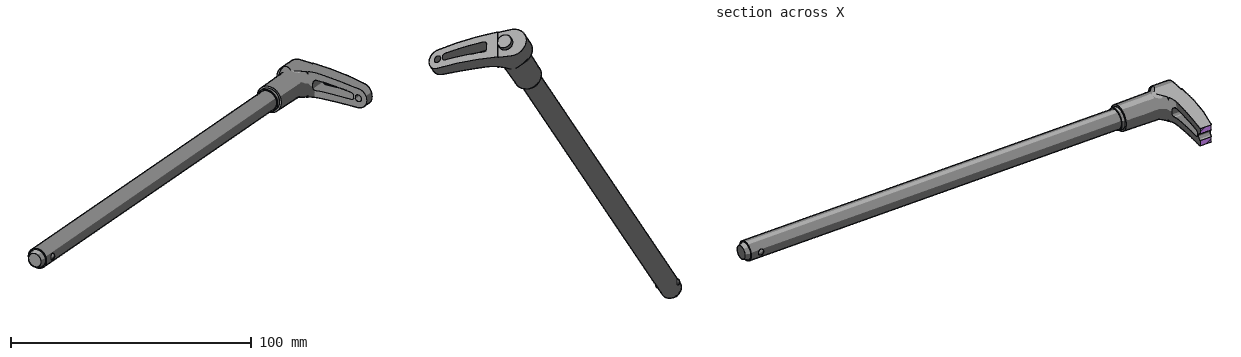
import cadquery as cq
import math

length = 218.5

pin_diameter = 9.0
pin_radius = pin_diameter / 2
tip_length = 2.2
tip_base_radius = 4.0
tip_end_radius = 3.0
ball_radius = 1.5
ball_reach = 5.2
ball_from_tip = 7.0

button_radius = 3.0
head_top = -2.0
collar_top = -14.6
collar_top_radius = 6.1
collar_band = -29.0
collar_radius = 6.0
collar_end = -30.8
washer_end = -32.3
washer_radius = 5.0

handle_left = -9.0
handle_right = 35.2
head_radius = 6.3
grip_radius = 4.4
head_center = handle_left + head_radius
grip_center = handle_right - grip_radius

head_bottom = -10.0
crown_start = 3.5
crown_top = -1.5
crown_mid_x = 18.8
crown_mid_y = -2.5
grip_top = -5.0
tip_corner = -6.3
tip_bottom = -10.7
grip_bottom_mid_x = 20.3
grip_bottom_mid_y = -9.5

neck_root = -6.5
neck_top = -8.7
neck_radius = 11.8
neck_mid = -10.5
neck_mid_radius = 7.5

slot_start = 8.3
slot_end = 28.6
slot_start_half = 2.5
slot_end_half = 1.5
slot_round = 1.3
eye_radius = 1.5
eye_center = 31.0


def y_cylinder(radius, start, end):
    """Cylinder on the pin axis from y = start down to y = end."""
    return cq.Workplane("XZ", origin=(0, start, 0)).circle(radius).extrude(start - end)


def revolved(profile):
    """Revolve a radius-height profile about the pin axis."""
    return profile.close().revolve(360, (0, 0, 0), (0, 1, 0))


def make_pin():
    shoulder = -length + tip_length
    pin = revolved(
        cq.Workplane("XY")
        .moveTo(0, head_top)
        .lineTo(pin_radius, head_top)
        .lineTo(pin_radius, shoulder)
        .lineTo(tip_base_radius, shoulder)
        .lineTo(tip_end_radius, -length)
        .lineTo(0, -length)
    )
    for side in (-1, 1):
        center = (side * (ball_reach - ball_radius), -length + ball_from_tip, 0)
        pin = pin.union(cq.Workplane("XY").sphere(ball_radius).translate(center))
    return pin


def make_collar():
    collar = revolved(
        cq.Workplane("XY")
        .moveTo(0, collar_top)
        .lineTo(collar_top_radius, collar_top)
        .lineTo(collar_radius, collar_band)
        .lineTo(collar_radius, collar_end)
        .lineTo(0, collar_end)
    )
    return collar.union(y_cylinder(washer_radius, collar_end, washer_end))


def make_handle_outline():
    """Tapered outline with tangent round ends, extruded past the whole handle height."""
    lean = (head_radius - grip_radius) / (grip_center - head_center)
    rise = math.sqrt(1 - lean**2)
    head_x = head_center + head_radius * lean
    head_z = head_radius * rise
    grip_x = grip_center + grip_radius * lean
    grip_z = grip_radius * rise
    return (
        cq.Workplane("XZ")
        .moveTo(head_x, head_z)
        .lineTo(grip_x, grip_z)
        .threePointArc((handle_right, 0), (grip_x, -grip_z))
        .lineTo(head_x, -head_z)
        .threePointArc((handle_left, 0), (head_x, head_z))
        .close()
        .extrude(-collar_top)
    )


def make_handle_profile():
    """Side shape of the arched handle, as wide as the head."""
    return (
        cq.Workplane("XY")
        .moveTo(handle_left, head_top)
        .lineTo(crown_start, head_top)
        .lineTo(crown_start, crown_top)
        .threePointArc((crown_mid_x, crown_mid_y), (grip_center, grip_top))
        .lineTo(handle_right, tip_corner)
        .lineTo(handle_right, tip_bottom)
        .lineTo(grip_center, tip_bottom)
        .threePointArc((grip_bottom_mid_x, grip_bottom_mid_y), (neck_radius, neck_top))
        .lineTo(collar_top_radius, neck_top)
        .lineTo(collar_top_radius, head_bottom)
        .lineTo(handle_left, head_bottom)
        .close()
        .extrude(head_radius, both=True)
    )


def make_neck():
    return revolved(
        cq.Workplane("XY")
        .moveTo(0, neck_root)
        .lineTo(neck_radius, neck_root)
        .lineTo(neck_radius, neck_top)
        .threePointArc((neck_mid_radius, neck_mid), (collar_top_radius, collar_top))
        .lineTo(0, collar_top)
    )


def make_handle_openings():
    slot = (
        cq.Workplane("XZ")
        .moveTo(slot_start, slot_start_half)
        .lineTo(slot_end, slot_end_half)
        .lineTo(slot_end, -slot_end_half)
        .lineTo(slot_start, -slot_start_half)
        .close()
        .extrude(-collar_top)
        .edges("|Y")
        .fillet(slot_round)
    )
    eye = cq.Workplane("XZ").center(eye_center, 0).circle(eye_radius).extrude(-collar_top)
    return slot.union(eye)


def make_handle():
    outline = make_handle_outline()
    arm = make_handle_profile().intersect(outline)
    neck = make_neck().intersect(outline)
    return arm.union(neck).cut(make_handle_openings())


button = y_cylinder(button_radius, 0, neck_top)
result = make_handle().union(make_collar()).union(make_pin()).union(button)